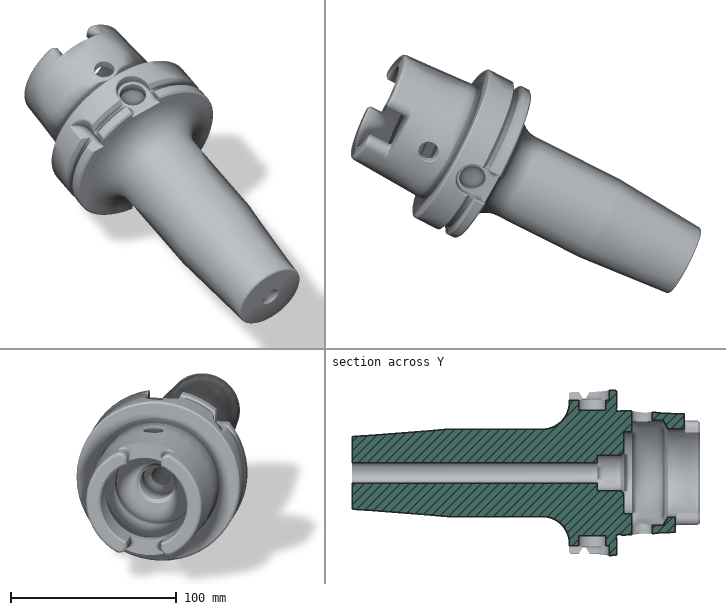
import cadquery as cq
import math


shank_length = 50.0
taper_large_radius = 75.52 / 2
taper_small_radius = 35.4
rear_edge_radius = 2.0
relief_start = -3.0
relief_floor_start = -1.9
relief_end = -0.8
relief_depth = 0.4
face_recess_radius = 39.6
face_recess_depth = 0.3

flange_radius = 50.0
flange_width = 29.0
flange_rear_chamfer = 1.0
flange_front_chamfer = 1.0
groove_center = 19.9
groove_mouth_width = 6.5
groove_floor_width = 2.8
groove_floor_radius = 46.0
groove_wall_angle = 30.0

nose_end = 160.0
neck_radius = 53.0 / 2
neck_fillet = 16.0
nose_cone_start = 102.5
nose_tip_radius = 22.1
nose_edge_chamfer = 0.7

mouth_bore_radius = 53.0 / 2
mouth_bore_chamfer = 1.1
mouth_bore_length = 19.4
cavity_radius = 63.0 / 2
cavity_cone_angle = 60.0
cavity_floor = -9.0
cavity_step_radius = 24.6
cavity_step_floor = -4.0
tube_mouth_radius = 12.5
tube_bore_radius = 21.0 / 2
tube_bore_depth = 16.0
through_hole_radius = 12.0 / 2

drive_slot_half_width = 10.5
drive_slot_depths = {0: 9.5, 180: 14.9}
drive_slot_outer_half_width = 17.4
drive_lug_top = 31.5
drive_lug_radius = 4.4
drive_mouth_chamfer = 1.3
drive_floor_fillet = 1.5
drive_slot_bottom = 15.0

access_hole_diameter = 12.0
access_hole_x = -15.0
access_hole_chamfer = 0.4

key_slot_radius = 20.0 / 2
key_slot_center_x = 15.0
key_slot_floor = 44.0
key_hole_diameter = 16.0
key_hole_depth = 6.0
slot_edge_chamfer = 0.5

notch_inset = 31.2

clearance = 10.0
tolerance = 0.05


def revolve_about_x(profile):
    return profile.close().revolve(360, (0, 0, 0), (1, 0, 0))


def make_body():
    relief_radius = taper_large_radius - relief_depth
    groove_slope = math.tan(math.radians(groove_wall_angle))
    mouth_half = groove_mouth_width / 2
    floor_half = groove_floor_width / 2
    wall_radius = flange_radius - (mouth_half - floor_half) / groove_slope
    fillet_end = flange_width + neck_fillet
    fillet_diagonal = neck_fillet * math.sqrt(0.5)
    fillet_middle = (fillet_end - fillet_diagonal, neck_radius + neck_fillet - fillet_diagonal)
    profile = (
        cq.Workplane("XY")
        .moveTo(-shank_length, 0)
        .lineTo(-shank_length, taper_small_radius - rear_edge_radius)
        .radiusArc((-shank_length + rear_edge_radius, taper_small_radius), rear_edge_radius)
        .lineTo(relief_start, taper_large_radius)
        .lineTo(relief_floor_start, relief_radius)
        .lineTo(relief_end, relief_radius)
        .lineTo(face_recess_depth, taper_large_radius)
        .lineTo(face_recess_depth, face_recess_radius - face_recess_depth)
        .lineTo(0, face_recess_radius)
        .lineTo(0, flange_radius - flange_rear_chamfer)
        .lineTo(flange_rear_chamfer, flange_radius)
        .lineTo(groove_center - mouth_half, flange_radius)
        .lineTo(groove_center - floor_half, wall_radius)
        .lineTo(groove_center - floor_half, groove_floor_radius)
        .lineTo(groove_center + floor_half, groove_floor_radius)
        .lineTo(groove_center + floor_half, wall_radius)
        .lineTo(groove_center + mouth_half, flange_radius)
        .lineTo(flange_width - flange_front_chamfer, flange_radius)
        .lineTo(flange_width, flange_radius - flange_front_chamfer)
        .lineTo(flange_width, neck_radius + neck_fillet)
        .threePointArc(fillet_middle, (fillet_end, neck_radius))
        .lineTo(nose_cone_start, neck_radius)
        .lineTo(nose_end - nose_edge_chamfer, nose_tip_radius)
        .lineTo(nose_end, nose_tip_radius - nose_edge_chamfer)
        .lineTo(nose_end, 0)
    )
    return revolve_about_x(profile)


def make_cavity():
    cone_start = -shank_length + mouth_bore_length
    cone_length = (cavity_radius - mouth_bore_radius) / math.tan(math.radians(cavity_cone_angle))
    tube_cone_end = cavity_step_floor + tube_mouth_radius - tube_bore_radius
    tube_floor = cavity_step_floor + tube_bore_depth
    profile = (
        cq.Workplane("XY")
        .moveTo(-shank_length, 0)
        .lineTo(-shank_length, mouth_bore_radius + mouth_bore_chamfer)
        .lineTo(-shank_length + mouth_bore_chamfer, mouth_bore_radius)
        .lineTo(cone_start, mouth_bore_radius)
        .lineTo(cone_start + cone_length, cavity_radius)
        .lineTo(cavity_floor, cavity_radius)
        .lineTo(cavity_floor, cavity_step_radius)
        .lineTo(cavity_step_floor, cavity_step_radius)
        .lineTo(cavity_step_floor, tube_mouth_radius)
        .lineTo(tube_cone_end, tube_bore_radius)
        .lineTo(tube_floor, tube_bore_radius)
        .lineTo(tube_floor, through_hole_radius)
        .lineTo(nose_end, through_hole_radius)
        .lineTo(nose_end, 0)
    )
    return revolve_about_x(profile)


def drive_slot_outline(x, flare):
    """Cross-section of a drive slot between two rounded lugs, each lug face set back by the flare."""
    inner = drive_slot_half_width + flare
    outer = drive_slot_outer_half_width
    radius = drive_lug_radius - flare
    lug_y = drive_slot_half_width + drive_lug_radius
    lug_z = drive_lug_top - drive_lug_radius
    lug_end_z = lug_z + math.sqrt(radius**2 - (outer - lug_y) ** 2)
    return (
        cq.Workplane("YZ", origin=(x, 0, 0))
        .moveTo(-inner, drive_slot_bottom)
        .lineTo(inner, drive_slot_bottom)
        .lineTo(inner, lug_z)
        .radiusArc((outer, lug_end_z), radius)
        .lineTo(outer, flange_radius)
        .lineTo(-outer, flange_radius)
        .lineTo(-outer, lug_end_z)
        .radiusArc((-inner, lug_z), radius)
        .close()
    )


def make_drive_slot(angle, depth):
    """Drive slot with a filleted floor and a chamfered mouth on the rear face."""
    slot = drive_slot_outline(-shank_length, 0).extrude(depth)
    slot = slot.faces(">X").edges().fillet(drive_floor_fillet)
    mouth_wire = drive_slot_outline(-shank_length, drive_mouth_chamfer).val()
    inner_wire = drive_slot_outline(-shank_length + drive_mouth_chamfer, 0).val()
    mouth = cq.Solid.makeLoft([mouth_wire, inner_wire], True)
    return slot.union(cq.Workplane(mouth)).rotate((0, 0, 0), (1, 0, 0), angle)


def make_access_holes():
    return (
        cq.Workplane("XY", origin=(access_hole_x, 0, 0))
        .circle(access_hole_diameter / 2)
        .extrude(flange_radius, both=True)
    )


def make_end_milled_slot(center_y, floor_z):
    """Slot cut from above, open at the front of the flange and round at its rear end."""
    length = flange_width + clearance - key_slot_center_x
    height = flange_radius + clearance - floor_z
    base = cq.Workplane("XY", origin=(key_slot_center_x, center_y, floor_z))
    round_end = base.circle(key_slot_radius).extrude(height)
    front_half = base.center(length / 2, 0).rect(length, 2 * key_slot_radius).extrude(height)
    return round_end.union(front_half)


def make_key_slot(angle):
    hole = (
        cq.Workplane("XY", origin=(key_slot_center_x, 0, key_slot_floor - key_hole_depth))
        .circle(key_hole_diameter / 2)
        .extrude(key_hole_depth)
    )
    slot = make_end_milled_slot(0, key_slot_floor).union(hole)
    return slot.rotate((0, 0, 0), (1, 0, 0), angle)


def is_access_hole_rim(edge):
    """True for the closed edge where an access hole meets the outside of the taper."""
    center = edge.Center()
    box = edge.BoundingBox()
    outside_cavity = abs(center.z) > cavity_radius
    around_hole = abs(box.center.x - access_hole_x) < tolerance
    hole_sized = abs(box.ylen - access_hole_diameter) < tolerance
    return outside_cavity and around_hole and hole_sized


def is_slot_rim(edge):
    """True for the edges along X where a key slot or the notch meets the outside of the flange."""
    slot_rear = key_slot_center_x - key_slot_radius
    ends = [edge.startPoint(), edge.positionAt(0.5), edge.endPoint()]
    on_flange = all(abs(math.hypot(point.y, point.z) - flange_radius) < tolerance for point in ends)
    box = edge.BoundingBox()
    return on_flange and box.xmin > slot_rear - key_slot_radius / 2 and box.xlen > tolerance


def chamfer_edges(body, belongs, size):
    solid = body.solids().val()
    edges = [edge for edge in solid.Edges() if belongs(edge)]
    return cq.Workplane(solid.chamfer(size, None, edges).Solids()[0])


result = make_body().cut(make_cavity())
for slot_angle, slot_depth in drive_slot_depths.items():
    result = result.cut(make_drive_slot(slot_angle, slot_depth))
result = result.cut(make_access_holes())
for slot_angle in (0, 180):
    result = result.cut(make_key_slot(slot_angle))
result = result.cut(make_end_milled_slot(-notch_inset - key_slot_radius, notch_inset))
result = chamfer_edges(result, is_access_hole_rim, access_hole_chamfer)
result = chamfer_edges(result, is_slot_rim, slot_edge_chamfer)